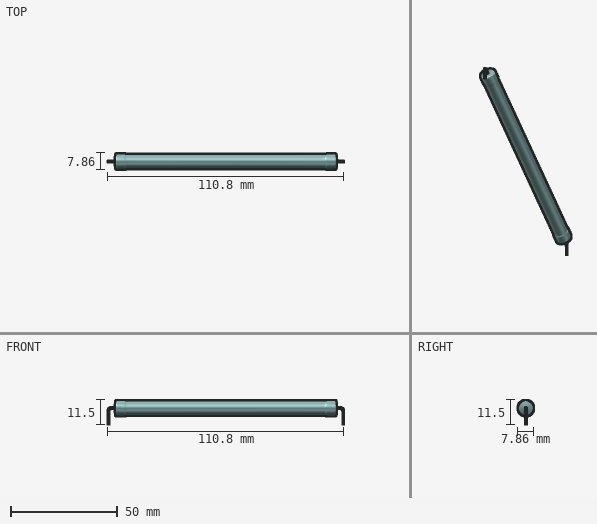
import cadquery as cq
import math

overall_length = 110.8
overall_height = 11.5

cap_radius = 3.93
tube_radius = 3.71
body_length = 104.4
dome_height = 0.4
end_rounding = 1.0
cap_length = 4.8
step_crest_length = 0.3
step_foot_length = 0.7

lead_diameter = 0.9
bend_radius = 1.2
lead_socket_depth = 0.5

tip_x = body_length / 2
lead_radius = lead_diameter / 2
lead_drop_x = overall_length / 2 - lead_radius
lead_bottom_z = cap_radius - overall_height
lead_root_x = tip_x - lead_socket_depth


def make_body():
    """Tube with a domed, rounded cap at each end and a smooth step between them."""
    cap_start_x = tip_x - cap_length
    step_length = step_crest_length + step_foot_length
    tube_end_x = cap_start_x - step_length

    joint_x = cap_start_x - step_crest_length
    joint_r = tube_radius + (cap_radius - tube_radius) * step_foot_length / step_length

    sphere_radius = (cap_radius**2 + dome_height**2) / (2 * dome_height)
    sphere_x = tip_x - sphere_radius
    rounding_centre_r = cap_radius - end_rounding
    dome_angle = math.asin(rounding_centre_r / (sphere_radius - end_rounding))
    cap_end_x = sphere_x + (sphere_radius - end_rounding) * math.cos(dome_angle)
    rim_x = sphere_x + sphere_radius * math.cos(dome_angle)
    rim_r = sphere_radius * math.sin(dome_angle)
    dome_mid_x = sphere_x + sphere_radius * math.cos(dome_angle / 2)
    dome_mid_r = sphere_radius * math.sin(dome_angle / 2)

    return (
        cq.Workplane("XY")
        .moveTo(-tip_x, 0)
        .threePointArc((-dome_mid_x, dome_mid_r), (-rim_x, rim_r))
        .tangentArcPoint((-cap_end_x, cap_radius), relative=False)
        .lineTo(-cap_start_x, cap_radius)
        .tangentArcPoint((-joint_x, joint_r), relative=False)
        .tangentArcPoint((-tube_end_x, tube_radius), relative=False)
        .lineTo(tube_end_x, tube_radius)
        .tangentArcPoint((joint_x, joint_r), relative=False)
        .tangentArcPoint((cap_start_x, cap_radius), relative=False)
        .lineTo(cap_end_x, cap_radius)
        .tangentArcPoint((rim_x, rim_r), relative=False)
        .threePointArc((dome_mid_x, dome_mid_r), (tip_x, 0))
        .close()
        .revolve(360, (0, 0, 0), (1, 0, 0))
    )


def make_lead():
    """Right-hand wire: out along X, round the bend, then straight down."""
    bend_x = lead_drop_x - bend_radius
    bend_mid = (
        bend_x + bend_radius * math.sqrt(0.5),
        bend_radius * (math.sqrt(0.5) - 1),
    )
    path = (
        cq.Workplane("XZ")
        .moveTo(lead_root_x, 0)
        .lineTo(bend_x, 0)
        .threePointArc(bend_mid, (lead_drop_x, -bend_radius))
        .lineTo(lead_drop_x, lead_bottom_z)
    )
    return cq.Workplane("YZ", origin=(lead_root_x, 0, 0)).circle(lead_radius).sweep(path)


right_lead = make_lead()
leads = [right_lead, right_lead.mirror("YZ")]

body = make_body()
for lead in leads:
    body = body.cut(lead)

result = cq.Compound.makeCompound([body.val(), *[lead.val() for lead in leads]])